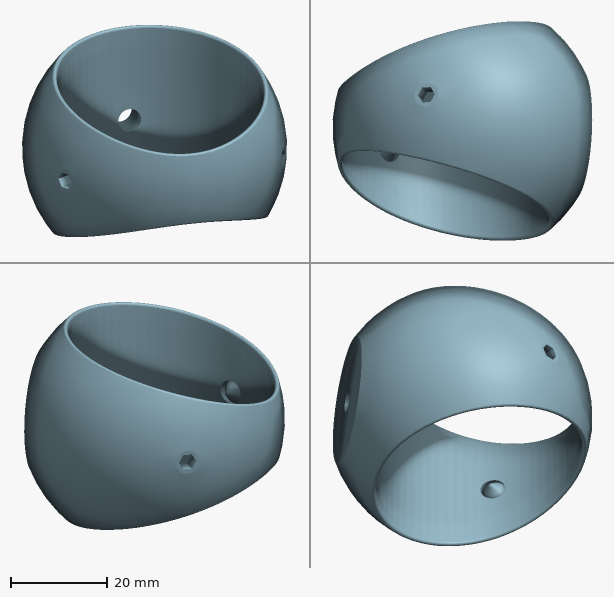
import cadquery as cq
import math

SPHERE_RADIUS = 27.5
FLAT_X = -24.0
BORE_RADIUS = 21.5
BORE_X = 4.0
RIM_FILLET = 0.5
FLAT_HOLE_RADIUS = 2.5

SCREW_RADIUS = 2.55
SCREW_ANGLE = 30.0
SCREW_TIP = 21.4
SCREW_POINT_ANGLE = 90.0
HEX_FLATS = 3.2
HEX_DEPTH = 3.65
SIDES = (-1, 1)

screw_end = math.sqrt(SPHERE_RADIUS**2 - SCREW_RADIUS**2)
point_length = SCREW_RADIUS / math.tan(math.radians(SCREW_POINT_ANGLE / 2))
screw_shoulder = SCREW_TIP + point_length
hex_corners = HEX_FLATS / math.cos(math.radians(30))


def screw_plane(side):
    """Plane at the sphere centre whose normal is the screw axis on the given Y side."""
    angle = math.radians(SCREW_ANGLE)
    axis = (math.sin(angle), side * math.cos(angle), 0)
    return cq.Plane(origin=(0, 0, 0), xDir=(axis[1], -axis[0], 0), normal=axis)


def make_ring():
    ring = cq.Workplane("XY").sphere(SPHERE_RADIUS)

    bore = (
        cq.Workplane("XY")
        .center(BORE_X, 0)
        .circle(BORE_RADIUS)
        .extrude(SPHERE_RADIUS, both=True)
    )
    ring = ring.cut(bore)
    ring = ring.edges("%BSPLINE").fillet(RIM_FILLET)

    beyond_flat = (
        cq.Workplane("YZ", origin=(FLAT_X, 0, 0))
        .circle(SPHERE_RADIUS)
        .extrude(-SPHERE_RADIUS)
    )
    ring = ring.cut(beyond_flat)

    flat_hole = (
        cq.Workplane("YZ", origin=(FLAT_X, 0, 0))
        .circle(FLAT_HOLE_RADIUS)
        .extrude(-FLAT_X)
    )
    ring = ring.cut(flat_hole)

    for side in SIDES:
        screw_hole = (
            cq.Workplane(screw_plane(side))
            .circle(SCREW_RADIUS)
            .extrude(SPHERE_RADIUS)
        )
        ring = ring.cut(screw_hole)
    return ring


def make_set_screw(side):
    plane = screw_plane(side)
    profile_plane = cq.Plane(
        origin=(0, 0, 0), xDir=plane.xDir, normal=plane.xDir.cross(plane.zDir)
    )
    body = (
        cq.Workplane(profile_plane)
        .moveTo(0, SCREW_TIP)
        .lineTo(SCREW_RADIUS, screw_shoulder)
        .lineTo(SCREW_RADIUS, screw_end)
        .lineTo(0, screw_end)
        .close()
        .revolve(360, (0, 0), (0, 1))
    )
    socket = (
        cq.Workplane(plane)
        .workplane(offset=screw_end - HEX_DEPTH)
        .polygon(6, hex_corners)
        .extrude(HEX_DEPTH)
    )
    return body.cut(socket)


ring = make_ring()
set_screws = [make_set_screw(side) for side in SIDES]

result = cq.Compound.makeCompound([ring.val(), *[screw.val() for screw in set_screws]])